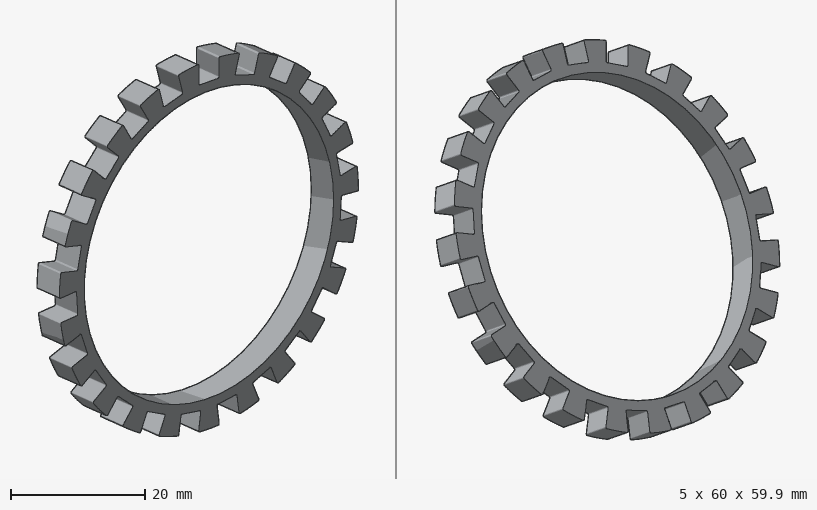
import cadquery as cq
import math

ring_width = 5.0
outer_radius = 30.0
bore_radius = 25.0
floor_radius = 26.5
tooth_count = 23
slot_width = 4.0
root_fillet = 0.25
tip_fillet = 0.25
cut_clearance = 1.0

pitch_angle = 360.0 / tooth_count


def make_blank():
    """Plain ring around the X axis, centred on X = 0."""
    ring = cq.Workplane("YZ").circle(outer_radius).circle(bore_radius)
    return ring.extrude(ring_width / 2, both=True)


def make_slot_cutter():
    """Parallel-sided slot at +Z with rounded floor corners and flared mouth for the tooth tips."""
    half_slot = slot_width / 2
    round_y = half_slot + tip_fillet
    round_z = math.sqrt((outer_radius - tip_fillet) ** 2 - round_y ** 2)
    round_angle = math.atan2(round_y, round_z)
    tip_y = outer_radius * math.sin(round_angle)
    tip_z = outer_radius * math.cos(round_angle)
    mid_angle = (round_angle - math.pi / 2) / 2
    mid_y = round_y + tip_fillet * math.sin(mid_angle)
    mid_z = round_z + tip_fillet * math.cos(mid_angle)
    mouth_z = outer_radius + cut_clearance

    profile = (
        cq.Workplane("YZ")
        .moveTo(-half_slot, floor_radius)
        .lineTo(half_slot, floor_radius)
        .lineTo(half_slot, round_z)
        .threePointArc((mid_y, mid_z), (tip_y, tip_z))
        .lineTo(tip_y, mouth_z)
        .lineTo(-tip_y, mouth_z)
        .lineTo(-tip_y, tip_z)
        .threePointArc((-mid_y, mid_z), (-half_slot, round_z))
        .close()
    )
    cutter = profile.extrude(ring_width / 2, both=True)
    return cutter.edges("|X and <Z").fillet(root_fillet)


def cut_slots(ring):
    """Cut the slots evenly around the ring, the first one at +Z."""
    cutter = make_slot_cutter()
    for index in range(tooth_count):
        ring = ring.cut(cutter.rotate((0, 0, 0), (1, 0, 0), index * pitch_angle))
    return ring


result = cut_slots(make_blank())